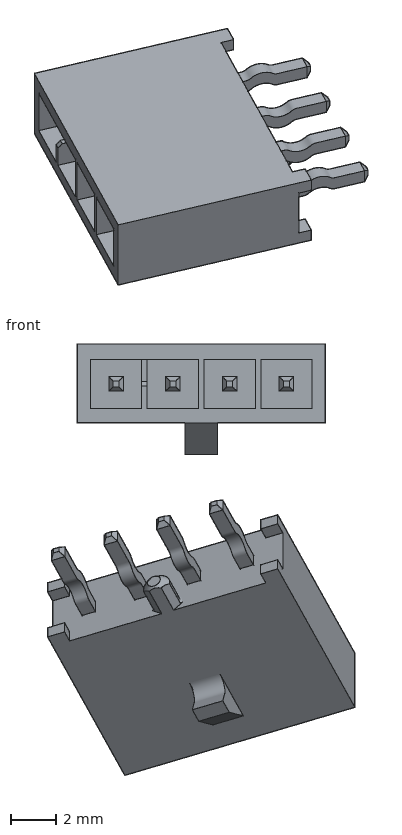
import cadquery as cq
import math


HOUSING_WIDTH = 10.94
HOUSING_HEIGHT = 3.48
BLOCK_DEPTH = 8.45
EAR_WIDTH = 0.81
EAR_LENGTH = 0.59
EAR_HEIGHT = 0.59

PIN_COUNT = 4
PIN_PITCH = 2.5
PIN_Z = 1.72
PIN_XS = [(i - (PIN_COUNT - 1) / 2) * PIN_PITCH for i in range(PIN_COUNT)]

POCKET_WIDTH = 2.25
POCKET_HEIGHT = 2.16
REAR_WALL = 2.0
POCKET_DEPTH = BLOCK_DEPTH - REAR_WALL
POCKET_TOP = PIN_Z + POCKET_HEIGHT / 2

NOTCH_FLOOR_Z = 1.83
NOTCH_DEPTH = 2.94
NOTCH_CHAMFER = 0.2
NOTCH_WALL = PIN_PITCH - POCKET_WIDTH

BOSS_RADIUS = 0.63
BOSS_TOP_Z = 1.0
BOSS_END_Y = 10.07
BOSS_CHAMFER = 0.32
BOSS_FLANK_TOP_Z = 0.28
BOSS_BASE_WIDTH = 0.56
BOSS_ROOT_FILLET = 0.09

LATCH_WIDTH = 1.45
LATCH_DROP = 1.4
LATCH_RAMP_START_Y = 1.37
LATCH_TIP_FRONT_Y = 3.03
LATCH_TIP_REAR_Y = 3.78
LATCH_ARC_RADIUS = 0.55
LATCH_ARC_Y = 4.08

PIN_SIZE = 0.64
PIN_FRONT_Y = 1.96
PIN_REAR_Y = 12.26
TIP_LENGTH = 0.23
TIP_INSET = 0.18

KINK_Y = 9.9
KINK_RISE = 0.26
KINK_HALF_LENGTH = 0.75
CREST_HALF_LENGTH = 0.5


def box(x_range, y_range, z_range):
    """Axis-aligned box between the given limits."""
    lows, highs = zip(x_range, y_range, z_range)
    size = [high - low for low, high in zip(lows, highs)]
    return cq.Workplane("XY").box(*size, centered=False).translate(lows)


def extrude_across(profile, x_centre, width):
    """Extrude a YZ profile by the given width, centred on x_centre."""
    return profile.extrude(width / 2, both=True).translate((x_centre, 0, 0))


def housing_block():
    """Solid block with an ear at each corner of its rear face."""
    half_width = HOUSING_WIDTH / 2
    ear_y = (BLOCK_DEPTH, BLOCK_DEPTH + EAR_LENGTH)
    block = box((-half_width, half_width), (0, BLOCK_DEPTH), (0, HOUSING_HEIGHT))
    for ear_x in ((-half_width, EAR_WIDTH - half_width), (half_width - EAR_WIDTH, half_width)):
        for ear_z in ((0, EAR_HEIGHT), (HOUSING_HEIGHT - EAR_HEIGHT, HOUSING_HEIGHT)):
            block = block.union(box(ear_x, ear_y, ear_z))
    return block


def add_locating_boss(block):
    """Join the round, chamfered boss to the block, with sloping lower flanks and a filleted root."""
    boss_z = BOSS_TOP_Z - BOSS_RADIUS
    boss = (
        cq.Workplane("XZ", origin=(0, BLOCK_DEPTH, boss_z))
        .circle(BOSS_RADIUS)
        .extrude(BLOCK_DEPTH - BOSS_END_Y)
        .faces(">Y")
        .chamfer(BOSS_CHAMFER)
    )
    flank_top_x = math.sqrt(BOSS_RADIUS**2 - (boss_z - BOSS_FLANK_TOP_Z) ** 2)
    base_x = BOSS_BASE_WIDTH / 2
    top_x = base_x + (flank_top_x - base_x) * BOSS_TOP_Z / BOSS_FLANK_TOP_Z
    envelope = (
        cq.Workplane("XZ", origin=(0, BLOCK_DEPTH, 0))
        .polyline([(-base_x, 0), (base_x, 0), (top_x, BOSS_TOP_Z), (-top_x, BOSS_TOP_Z)])
        .close()
        .extrude(BLOCK_DEPTH - BOSS_END_Y)
    )
    root_arc = cq.selectors.BoxSelector(
        (-BOSS_RADIUS, BLOCK_DEPTH - BOSS_ROOT_FILLET / 2, boss_z),
        (BOSS_RADIUS, BLOCK_DEPTH + BOSS_ROOT_FILLET / 2, BOSS_TOP_Z),
    )
    return block.union(boss.intersect(envelope)).edges("%CIRCLE").edges(root_arc).fillet(BOSS_ROOT_FILLET)


def latch_hook():
    """Ramped hook whose rear flank is tangent to an arc that runs out at the base plane."""
    to_centre_y = LATCH_ARC_Y - LATCH_TIP_REAR_Y
    to_centre_z = LATCH_DROP - LATCH_ARC_RADIUS
    centre_distance = math.hypot(to_centre_y, to_centre_z)
    lean = math.asin(LATCH_ARC_RADIUS / centre_distance) - math.atan2(to_centre_y, to_centre_z)

    def arc_point(angle):
        """Point on the arc at an angle above the forward horizontal."""
        y = LATCH_ARC_Y - LATCH_ARC_RADIUS * math.cos(angle)
        z = -LATCH_ARC_RADIUS + LATCH_ARC_RADIUS * math.sin(angle)
        return y, z

    profile = (
        cq.Workplane("YZ")
        .moveTo(LATCH_RAMP_START_Y, 0)
        .lineTo(LATCH_TIP_FRONT_Y, -LATCH_DROP)
        .lineTo(LATCH_TIP_REAR_Y, -LATCH_DROP)
        .lineTo(*arc_point(-lean))
        .threePointArc(arc_point((math.pi / 2 - lean) / 2), arc_point(math.pi / 2))
        .close()
    )
    return extrude_across(profile, 0, LATCH_WIDTH)


def pocket(x):
    """Blind pocket around the contact at x, open at the mating face."""
    return box(
        (x - POCKET_WIDTH / 2, x + POCKET_WIDTH / 2),
        (0, POCKET_DEPTH),
        (POCKET_TOP - POCKET_HEIGHT, POCKET_TOP),
    )


def keying_notch():
    """Notch through the upper part of the first partition, with a chamfered lead-in at its floor."""
    profile = (
        cq.Workplane("YZ")
        .moveTo(0, POCKET_TOP)
        .lineTo(0, NOTCH_FLOOR_Z - NOTCH_CHAMFER)
        .lineTo(NOTCH_CHAMFER, NOTCH_FLOOR_Z)
        .lineTo(NOTCH_DEPTH, NOTCH_FLOOR_Z)
        .lineTo(NOTCH_DEPTH, POCKET_TOP)
        .close()
    )
    return extrude_across(profile, (PIN_XS[0] + PIN_XS[1]) / 2, NOTCH_WALL)


def pin_hole(x):
    """Square hole through the rear wall that the contact at x fills."""
    half = PIN_SIZE / 2
    return box((x - half, x + half), (POCKET_DEPTH, BLOCK_DEPTH), (PIN_Z - half, PIN_Z + half))


def make_housing():
    housing = add_locating_boss(housing_block()).union(latch_hook())
    for x in PIN_XS:
        housing = housing.cut(pocket(x)).cut(pin_hole(x))
    return housing.cut(keying_notch())


def kink_points(z, rise):
    """Points along a kinked edge, rear to front: the start, then the middle and end of each tangent arc."""
    angle = 2 * math.atan(abs(rise) / KINK_HALF_LENGTH)
    crest_radius = CREST_HALF_LENGTH / math.sin(angle)
    root_radius = (KINK_HALF_LENGTH - CREST_HALF_LENGTH) / math.sin(angle)
    side = math.copysign(1, rise)
    root_mid_y = KINK_HALF_LENGTH - root_radius * math.sin(angle / 2)
    root_mid_z = z + side * root_radius * (1 - math.cos(angle / 2))
    joint_z = z + side * root_radius * (1 - math.cos(angle))
    return [
        (KINK_Y + KINK_HALF_LENGTH, z),
        (KINK_Y + root_mid_y, root_mid_z),
        (KINK_Y + CREST_HALF_LENGTH, joint_z),
        (KINK_Y, z + rise),
        (KINK_Y - CREST_HALF_LENGTH, joint_z),
        (KINK_Y - root_mid_y, root_mid_z),
        (KINK_Y - KINK_HALF_LENGTH, z),
    ]


def trace_kink(profile, points):
    """Continue the profile with a line to the kink and then its three tangent arcs."""
    profile = profile.lineTo(*points[0])
    for middle, end in zip(points[1::2], points[2::2]):
        profile = profile.threePointArc(middle, end)
    return profile


def tapered_tip(x, y, direction):
    """Truncated pyramid ending the pin, pointing along +Y (direction 1) or -Y (direction -1)."""
    tip_size = PIN_SIZE - 2 * TIP_INSET
    base_plane = cq.Plane(origin=(x, y, PIN_Z), xDir=(1, 0, 0), normal=(0, direction, 0))
    return (
        cq.Workplane(base_plane)
        .rect(PIN_SIZE, PIN_SIZE)
        .workplane(offset=TIP_LENGTH)
        .rect(tip_size, tip_size)
        .loft(ruled=True)
    )


def make_pin(x, rise):
    """Square pin with tapered ends and a kink of the given rise in its tail."""
    shank_front = PIN_FRONT_Y + TIP_LENGTH
    shank_rear = PIN_REAR_Y - TIP_LENGTH
    bottom_z = PIN_Z - PIN_SIZE / 2
    top_z = PIN_Z + PIN_SIZE / 2
    top_edge = kink_points(top_z, rise)
    bottom_edge = kink_points(bottom_z, rise)[::-1]

    profile = cq.Workplane("YZ").moveTo(shank_rear, bottom_z).lineTo(shank_rear, top_z)
    profile = trace_kink(profile, top_edge)
    profile = profile.lineTo(shank_front, top_z).lineTo(shank_front, bottom_z)
    profile = trace_kink(profile, bottom_edge)
    shank = extrude_across(profile.close(), x, PIN_SIZE)
    return shank.union(tapered_tip(x, shank_front, -1)).union(tapered_tip(x, shank_rear, 1))


housing = make_housing()

pins = []
for index, pin_x in enumerate(PIN_XS):
    is_outer = index in (0, PIN_COUNT - 1)
    pins.append(make_pin(pin_x, KINK_RISE if is_outer else -KINK_RISE))

result = cq.Compound.makeCompound([housing.val(), *[pin.val() for pin in pins]])